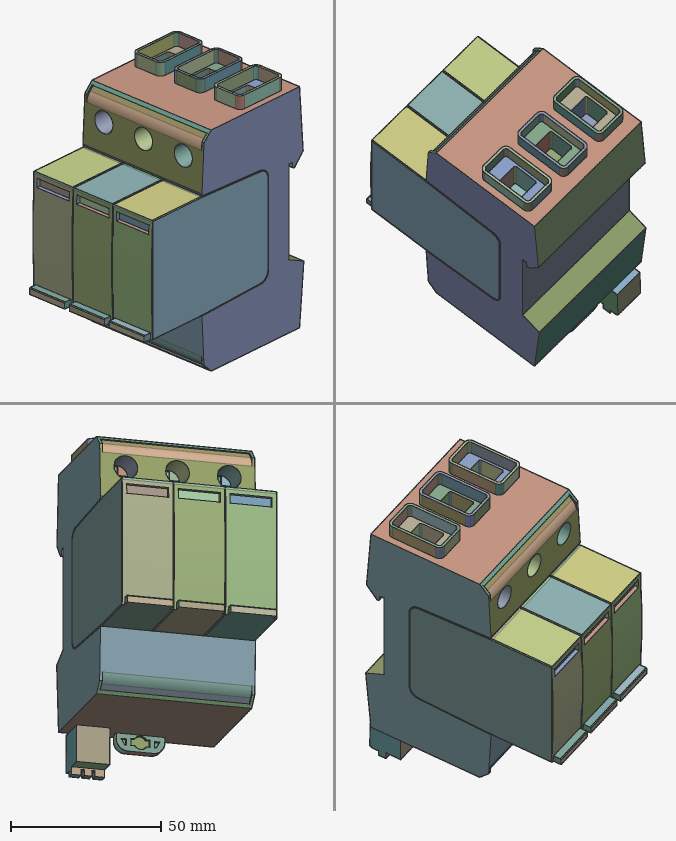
import cadquery as cq

width = 54.0
housing_height = 90.0
pole_count = 3
pole_pitch = width / pole_count
pole_positions = [(i - (pole_count - 1) / 2) * pole_pitch for i in range(pole_count)]

mid_height = housing_height / 2
back_end_y = 5.2
front_y = -42.7
bevel_back_y = -38.2
bevel_height = 3.5
bevel_front_y = bevel_back_y - bevel_height
module_gap_height = 0.9
module_gap_depth = 0.3

upper_jaw_y = 7.0
upper_jaw_z = 65.5
hook_tip_z = 59.6
hook_inner_y = 1.8
hook_tip_radius = 0.7
hook_root_radius = 0.4
seat_top_z = 62.9
seat_bottom_z = 27.3
lower_jaw_y = 7.3
lower_jaw_z = 24.1

recess_inset = 1.0
recess_ledge_y = -38.3
recess_ledge_z = 88.9
recess_bend_z = 87.0
recess_bend_y = recess_ledge_y - (recess_ledge_z - recess_bend_z)
recess_end_z = 83.5

module_back_y = -10.1
module_front_y = -66.8
module_top_z = 66.9
module_bottom_z = 22.2
module_taper = 1.3
module_kink_y = front_y - 0.5
module_corner_radius = 3.9
module_edge_chamfer = 0.3
front_bulge = 0.5
front_bulge_inset = 0.17
front_bulge_top_z = 66.1
window_width = 14.6
window_top_z = 64.7
window_bottom_z = 61.3
window_depth = 1.3
tab_width = 15.9
tab_height = 2.5
tab_front_y = -69.9
tab_chamfer = 0.3

collar_width = 12.9
collar_length = 21.6
collar_height = 5.1
collar_center_y = -10.4
collar_radius = 2.1
collar_wall = 1.0
entry_width = 9.1
entry_length = 9.6
entry_radius = 0.7
entry_depth = 11.1

screw_diameter = 8.2
screw_z = 78.9
screw_head_y = -31.0
screw_slot_length = 8.0
screw_slot_width = 1.3
screw_slot_depth = 1.1

terminal_left_x = -23.6
terminal_width = 11.5
terminal_front_y = -4.4
terminal_top_back_y = 7.6
terminal_back_y = 8.0
terminal_height = 12.8
terminal_heel_z = -13.5
terminal_heel_y = 7.1
prong_back_y = 4.4
prong_front_y = 1.4
prong_bottom_z = -15.5
prong_gap_width = 1.1
prong_gap_offset = 1.9

foot_width = 16.9
foot_depth = 6.0
foot_radius = 4.0
foot_front_y = 0.0
foot_thickness = 3.3
foot_recess_depth = 1.1
foot_recess_z = -2.7
foot_recess_diameter = 4.6
foot_slot_width = 6.6
foot_slot_height = 2.4
foot_notch_outer_x = 6.7
foot_notch_inner_x = 4.9
foot_notch_tip_x = 5.5
foot_notch_top_z = -1.8
foot_notch_bottom_z = -3.9


def side_prism(outline, prism_width, center_x=0.0):
    """Extrude a closed YZ outline across X, centred on center_x."""
    return outline.extrude(prism_width / 2, both=True).translate((center_x, 0, 0))


def box(x_size, y_range, z_range, center_x=0.0):
    """Box centred on center_x in X and spanning the given Y and Z ranges."""
    y0, y1 = y_range
    z0, z1 = z_range
    return cq.Workplane(
        "XY", origin=(center_x, (y0 + y1) / 2, (z0 + z1) / 2)
    ).box(x_size, y1 - y0, z1 - z0)


def make_housing():
    top = housing_height
    outline = (
        cq.Workplane("YZ")
        .moveTo(back_end_y, 0)
        .lineTo(bevel_back_y, 0)
        .lineTo(bevel_front_y, bevel_height)
        .lineTo(front_y, module_bottom_z)
        .lineTo(front_y + module_gap_depth, module_top_z)
        .lineTo(front_y, module_top_z + module_gap_height)
        .lineTo(bevel_front_y, top - bevel_height)
        .lineTo(bevel_back_y, top)
        .lineTo(back_end_y, top)
        .lineTo(upper_jaw_y, upper_jaw_z)
        .lineTo(hook_inner_y, hook_tip_z)
        .lineTo(hook_inner_y, seat_top_z)
        .lineTo(0, seat_top_z)
        .lineTo(0, seat_bottom_z)
        .lineTo(lower_jaw_y, lower_jaw_z)
        .close()
    )
    housing = side_prism(outline, width)
    hook_tip = cq.NearestToPointSelector((0, hook_inner_y, hook_tip_z))
    hook_root = cq.NearestToPointSelector((0, hook_inner_y, seat_top_z))
    housing = housing.edges("|X").edges(hook_tip).fillet(hook_tip_radius)
    return housing.edges("|X").edges(hook_root).fillet(hook_root_radius)


def make_label_recess():
    """Cutter that sinks a flat into the top bevel, under a thin ledge, and rounds it into the front."""
    bevel_end_z = housing_height - bevel_height
    relief_top_z = module_top_z + module_gap_height
    front_slope = (front_y - bevel_front_y) / (relief_top_z - bevel_end_z)
    recess_end_y = bevel_front_y + front_slope * (recess_end_z - bevel_end_z)
    outline = (
        cq.Workplane("YZ")
        .moveTo(recess_ledge_y, recess_ledge_z)
        .lineTo(recess_bend_y, recess_bend_z)
        .tangentArcPoint((recess_end_y, recess_end_z), relative=False)
        .lineTo(front_y, recess_end_z)
        .lineTo(front_y, recess_ledge_z)
        .close()
    )
    return side_prism(outline, width - 2 * recess_inset)


def make_module_blank(blank_width):
    """Module block with its taper and round back corners, before any edge is bevelled."""
    outline = cq.Workplane("YZ").polyline([
        (module_front_y, module_bottom_z),
        (module_kink_y, module_bottom_z),
        (module_back_y, module_bottom_z + module_taper),
        (module_back_y, module_top_z - module_taper),
        (module_kink_y, module_top_z),
        (module_front_y, module_top_z),
    ]).close()
    return side_prism(outline, blank_width).faces(">Y").edges("|X").fillet(module_corner_radius)


def make_module(center_x):
    """Plug-in module with bevelled side edges, bulged front, label window and pull tab."""
    body = make_module_blank(pole_pitch)
    body = body.faces("<X or >X").edges("not <Y").chamfer(module_edge_chamfer)
    bulge = side_prism(
        cq.Workplane("YZ")
        .moveTo(module_front_y, module_bottom_z)
        .threePointArc(
            (module_front_y - front_bulge, (module_bottom_z + front_bulge_top_z) / 2),
            (module_front_y, front_bulge_top_z),
        )
        .close(),
        pole_pitch - 2 * front_bulge_inset,
    )
    tab = box(
        tab_width, (tab_front_y, module_front_y), (module_bottom_z, module_bottom_z + tab_height)
    ).edges("<Y and >Z").chamfer(tab_chamfer)
    window = box(
        window_width,
        (module_front_y - front_bulge, module_front_y + window_depth),
        (window_bottom_z, window_top_z),
    )
    return body.union(bulge).union(tab).cut(window).translate((center_x, 0, 0))


def make_collar(center_x):
    """Rounded rectangular collar standing round a cable entry."""
    base = cq.Workplane("XY", origin=(center_x, collar_center_y, housing_height))
    outer = base.rect(collar_width, collar_length).extrude(collar_height)
    outer = outer.edges("|Z").fillet(collar_radius)
    inner = base.rect(collar_width - 2 * collar_wall, collar_length - 2 * collar_wall)
    inner = inner.extrude(collar_height)
    inner = inner.edges("|Z").fillet(collar_radius - collar_wall)
    return outer.cut(inner)


def make_cable_entry(center_x):
    entry = (
        cq.Workplane("XY", origin=(center_x, collar_center_y, housing_height))
        .rect(entry_width, entry_length)
        .extrude(-entry_depth)
    )
    return entry.edges("|Z").fillet(entry_radius)


def cut_screw_hole(body, center_x):
    """Cut a screw shaft into the front, ending on a screw head with a cross slot."""
    head = cq.Workplane("XZ", origin=(center_x, screw_head_y, screw_z))
    shaft = head.circle(screw_diameter / 2).extrude(screw_head_y - front_y)
    cross = head.rect(screw_slot_length, screw_slot_width).extrude(-screw_slot_depth)
    cross = cross.union(head.rect(screw_slot_width, screw_slot_length).extrude(-screw_slot_depth))
    return body.cut(shaft).cut(cross)


def make_terminal():
    """Signalling terminal with a row of three prongs below it."""
    center_x = terminal_left_x + terminal_width / 2
    outline = cq.Workplane("YZ").polyline([
        (terminal_front_y, 0),
        (terminal_front_y, -terminal_height),
        (prong_front_y, -terminal_height),
        (prong_front_y, prong_bottom_z),
        (prong_back_y, prong_bottom_z),
        (prong_back_y, terminal_heel_z),
        (terminal_heel_y, terminal_heel_z),
        (terminal_back_y, -terminal_height),
        (terminal_top_back_y, 0),
    ]).close()
    terminal = side_prism(outline, terminal_width, center_x)
    for side in (-1, 1):
        gap = box(
            prong_gap_width,
            (prong_front_y, prong_back_y),
            (prong_bottom_z, terminal_heel_z),
            center_x + side * prong_gap_offset,
        )
        terminal = terminal.cut(gap)
    return terminal


def make_foot():
    """Rail latch foot with a shallow keyed recess between two four-sided notches."""
    foot = box(foot_width, (foot_front_y, foot_front_y + foot_thickness), (-foot_depth, 0))
    foot = foot.edges("|Y and <Z").fillet(foot_radius)
    face = cq.Workplane("XZ", origin=(0, foot_front_y, 0))
    center = face.center(0, foot_recess_z)
    recess = center.circle(foot_recess_diameter / 2).extrude(-foot_recess_depth)
    recess = recess.union(center.rect(foot_slot_width, foot_slot_height).extrude(-foot_recess_depth))
    notch = face.polyline([
        (foot_notch_outer_x, foot_notch_top_z),
        (foot_notch_inner_x, foot_notch_top_z),
        (foot_notch_inner_x, foot_notch_bottom_z),
        (foot_notch_tip_x, foot_notch_bottom_z),
    ]).close().extrude(-foot_recess_depth)
    return foot.cut(recess).cut(notch).cut(notch.mirror("YZ"))


label_recess = make_label_recess()
result = make_housing().cut(label_recess).cut(label_recess.mirror("XY", (0, 0, mid_height)))
result = result.cut(make_module_blank(width))
result = result.union(make_terminal()).union(make_foot())
for pole_x in pole_positions:
    result = result.union(make_module(pole_x)).union(make_collar(pole_x))
    result = result.cut(make_cable_entry(pole_x))
    result = cut_screw_hole(result, pole_x)